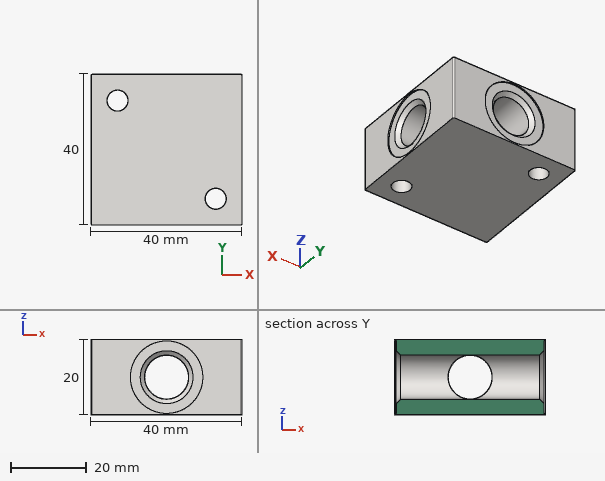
import cadquery as cq

side = 40.0
height = 20.0
corner_radius = 0.4

bore_diameter = 11.6
mouth_diameter = 14.0
countersink_depth = 1.2
spotface_diameter = 19.2
spotface_depth = 0.4

mounting_diameter = 5.5
mounting_offset = 13.0


def make_block():
    block = cq.Workplane("XY").box(side, side, height)
    return block.edges("|Z").fillet(corner_radius)


def make_port_cutter():
    """Through port with a spotface and countersink at each end, revolved about the X axis."""
    face = side / 2
    floor = face - spotface_depth
    bore_end = floor - countersink_depth
    bore_radius = bore_diameter / 2
    mouth_radius = mouth_diameter / 2
    spotface_radius = spotface_diameter / 2
    profile = (
        cq.Workplane("XY")
        .moveTo(-face, 0)
        .lineTo(-face, spotface_radius)
        .lineTo(-floor, spotface_radius)
        .lineTo(-floor, mouth_radius)
        .lineTo(-bore_end, bore_radius)
        .lineTo(bore_end, bore_radius)
        .lineTo(floor, mouth_radius)
        .lineTo(floor, spotface_radius)
        .lineTo(face, spotface_radius)
        .lineTo(face, 0)
        .close()
    )
    return profile.revolve(360, (0, 0, 0), (1, 0, 0))


def make_mounting_holes():
    centres = [(-mounting_offset, mounting_offset), (mounting_offset, -mounting_offset)]
    holes = cq.Workplane("XY").pushPoints(centres).circle(mounting_diameter / 2)
    return holes.extrude(height / 2, both=True)


port_along_x = make_port_cutter()
port_along_y = port_along_x.rotate((0, 0, 0), (0, 0, 1), 90)

result = make_block().cut(port_along_x).cut(port_along_y).cut(make_mounting_holes())